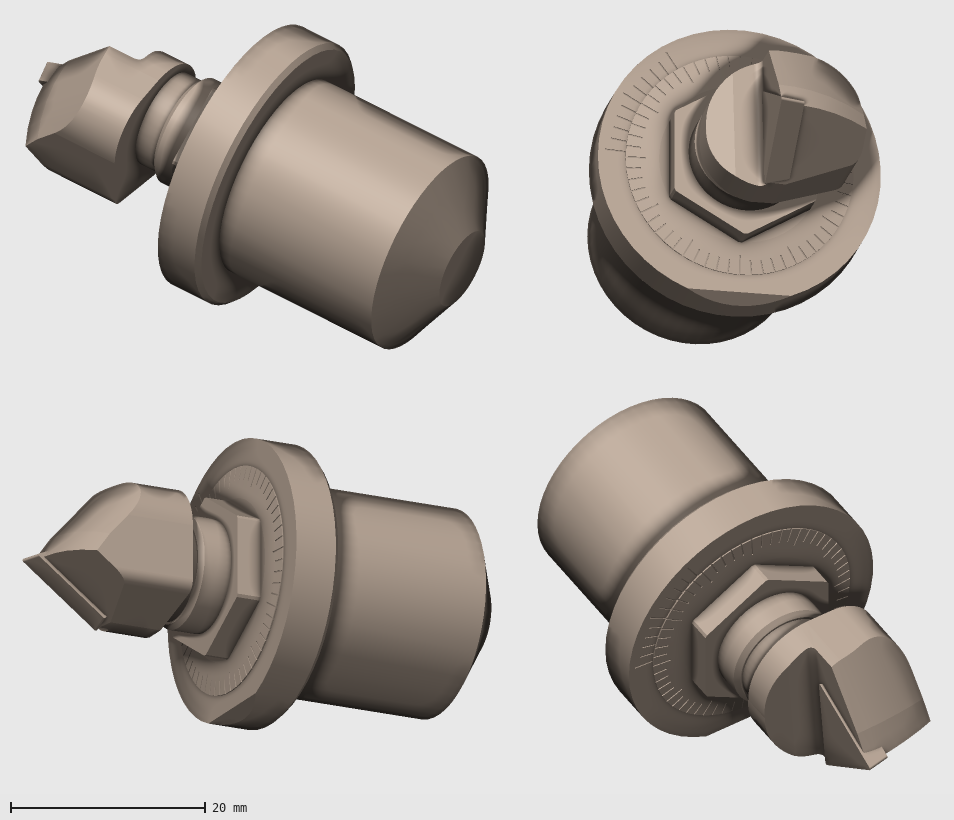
import cadquery as cq
import math


flange_diameter = 29.75
flange_thickness = 5.05
flange_chamfer = 0.5
flange_flat_height = 13.85
flange_flat_depth = 1.3
shank_diameter = 22.0
shank_end = 27.7
nose_length = 3.95
nose_end_diameter = 8.55
dial_diameter = 23.95
dial_rim_height = 0.15
dial_height = 0.45
hex_across_flats = 15.0
hex_corner_diameter = 17.1
hex_front = -3.1

mark_width = 0.15
mark_depth = 0.1
dial_mark_count = 60
dial_mark_long = 2.0
dial_mark_short = 1.5
vernier_mark_count = 11
vernier_start = 3.0
vernier_pitch = 5.4
vernier_mark_long = 2.15
vernier_mark_short = 1.7
long_mark_every = 5

thread_diameter = 12.0
thread_front = -6.65
thread_chamfer = 0.5
neck_diameter = 10.5
head_back = -9.05

head_length = 15.45
head_top = 7.05
head_bottom = -7.25
head_side = -9.15
head_back_side = 6.1
top_corner_radius = 5.15
bottom_corner_radius = 1.4
top_flat_end = -1.0
upper_arc_middle = (4.2, 4.6)
head_back_point = (head_back_side, -0.5)
lower_arc_middle = (4.35, -5.45)
bottom_flat_start = 0.75
bottom_flat_end = -1.7
bottom_slope_end = -5.0

clearance_radius = 18.55
clearance_centre_y = 0.75
clearance_x = -20.85
clearance_z = 1.4
upper_clearance_angle = 48.0
lower_clearance_angle = 54.5

rake_y = 0.25
rake_wall_x = -12.95
rake_wall_tilt = 6.8
rake_fillet = 0.75
rake_bevel_start = 3.3
rake_bevel_angle = 15.0

insert_top_y = 0.55
insert_thickness = 2.5
insert_inscribed_diameter = 6.35
insert_nose_radius = 0.2
insert_relief_angle = 7.0
insert_centre_z = -1.9
insert_tilt = 7.0
insert_tip_x = -23.8
tip_to_centre = insert_nose_radius + (
    (insert_inscribed_diameter - 2 * insert_nose_radius) * math.cos(math.radians(insert_tilt))
)
insert_centre_x = insert_tip_x + tip_to_centre
land_inset = 0.45
land_relief_angle = 5.0


def disc(diameter, start, end):
    """Cylinder on the tool axis between two X positions."""
    return cq.Workplane("YZ", origin=(start, 0, 0)).circle(diameter / 2).extrude(end - start)


def turned(points):
    """Solid of revolution about X from (x, radius) points."""
    return cq.Workplane("XY").polyline(points).close().revolve(360, (0, 0, 0), (1, 0, 0))


def half_space(point, normal, size=41.2):
    """Large block that starts at a point and fills the side the normal points to."""
    return cq.Workplane(cq.Plane(point, normal=normal)).rect(size, size).extrude(size)


def radial_mark(angle, inner_radius, outer_radius, start, end):
    """Narrow bar along a radius; the angle runs from +Y toward +Z."""
    length = outer_radius - inner_radius
    bar = cq.Workplane("XY").box(end - start, length, mark_width)
    bar = bar.translate(((start + end) / 2, (inner_radius + outer_radius) / 2, 0))
    return bar.rotate((0, 0, 0), (1, 0, 0), angle).val()


def dial_cone(offset=0.0):
    """Shallow graduated cone in front of the flange, shifted along +X by the offset."""
    return turned([
        (offset, 0),
        (offset, dial_diameter / 2),
        (offset - dial_rim_height, dial_diameter / 2),
        (offset - dial_height, hex_corner_diameter / 2),
        (offset - dial_height, 0),
    ])


def dial_marks():
    """Grooves of even depth below the conical dial face."""
    outer = dial_diameter / 2
    bars = []
    for i in range(dial_mark_count):
        length = dial_mark_short if i % long_mark_every else dial_mark_long
        angle = i * 360 / dial_mark_count
        bars.append(radial_mark(angle, outer - length, outer, -dial_height, 0))
    below_grooves = dial_cone(mark_depth)
    return cq.Workplane(cq.Compound.makeCompound(bars)).cut(below_grooves)


def vernier_marks():
    """Grooves in the flange face just outside the dial."""
    inner = dial_diameter / 2
    bars = []
    for i in range(vernier_mark_count):
        length = vernier_mark_short if i % long_mark_every else vernier_mark_long
        angle = vernier_start + i * vernier_pitch
        bars.append(radial_mark(angle, inner, inner + length, 0, mark_depth))
    return cq.Workplane(cq.Compound.makeCompound(bars))


def make_housing():
    flange_radius = flange_diameter / 2
    shank_radius = shank_diameter / 2
    body = turned([
        (0, 0),
        (0, flange_radius),
        (flange_thickness - flange_chamfer, flange_radius),
        (flange_thickness, flange_radius - flange_chamfer),
        (flange_thickness, shank_radius),
        (shank_end - nose_length, shank_radius),
        (shank_end, nose_end_diameter / 2),
        (shank_end, 0),
    ])
    flat_drop = flange_radius - flange_flat_height
    body = body.cut(half_space((0, 0, -flange_flat_height), (-flat_drop, 0, -flange_flat_depth)))
    hexagon = cq.Workplane("YZ", origin=(hex_front, 0, 0))
    hexagon = hexagon.polygon(6, hex_across_flats, circumscribed=True).extrude(-hex_front)
    hexagon = hexagon.intersect(disc(hex_corner_diameter, hex_front, 0))
    body = body.union(dial_cone()).union(hexagon)
    body = body.cut(dial_marks()).cut(vernier_marks())
    return body.cut(disc(thread_diameter, hex_front, 0))


def make_insert():
    """Triangular insert with its top face toward +Y and flanks tapering toward -Y."""
    tilt = math.radians(insert_tilt)
    top_face = cq.Plane(
        origin=(insert_centre_x, insert_top_y, insert_centre_z),
        xDir=(-math.cos(tilt), 0, math.sin(tilt)),
        normal=(0, -1, 0),
    )
    insert = cq.Workplane(top_face).polygon(3, 2 * insert_inscribed_diameter)
    insert = insert.extrude(insert_thickness, taper=insert_relief_angle)
    return insert.edges("(not <Y) and (not >Y)").fillet(insert_nose_radius)


def head_block():
    """Head cross-section extruded along X, before its faces are cut."""
    head = (
        cq.Workplane("YZ", origin=(head_back, 0, 0))
        .moveTo(head_side, bottom_slope_end)
        .lineTo(head_side, head_top)
        .lineTo(top_flat_end, head_top)
        .threePointArc(upper_arc_middle, head_back_point)
        .threePointArc(lower_arc_middle, (bottom_flat_start, head_bottom))
        .lineTo(bottom_flat_end, head_bottom)
        .close()
        .extrude(-head_length)
    )
    head = head.edges("|X and <Y").edges(">Z").fillet(top_corner_radius)
    bottom_corner = (head_back - head_length / 2, head_side, bottom_slope_end)
    return head.edges(cq.selectors.NearestToPointSelector(bottom_corner)).fillet(bottom_corner_radius)


def clearance_cylinder(angle):
    """Large cylinder whose axis rises from the crest line at the given angle to X."""
    rise = math.radians(angle)
    along = (math.cos(rise), 0, math.sin(rise))
    reach = 2 * head_length
    start = cq.Vector(
        clearance_x + clearance_radius * math.sin(rise) - reach * along[0],
        clearance_centre_y,
        clearance_z - clearance_radius * math.cos(rise) - reach * along[2],
    )
    plane = cq.Plane(origin=start.toTuple(), normal=along)
    return cq.Workplane(plane).circle(clearance_radius).extrude(2 * reach)


def rake_cutter():
    """Space in front of the rake face, closed by a tilted wall with a bevel and a fillet."""
    tilt = math.radians(rake_wall_tilt)
    plane = cq.Plane(
        origin=(rake_wall_x, rake_y, 0),
        xDir=(math.cos(tilt), 0, -math.sin(tilt)),
        normal=(math.sin(tilt), 0, math.cos(tilt)),
    )
    bevel_start = rake_bevel_start - rake_y
    bevel_run = head_back_side - rake_y
    bevel_shift = (bevel_run - bevel_start) * math.tan(math.radians(rake_bevel_angle))
    space = (
        cq.Workplane(plane)
        .moveTo(-head_length, 0)
        .lineTo(-rake_fillet, 0)
        .radiusArc((0, rake_fillet), -rake_fillet)
        .lineTo(0, bevel_start)
        .lineTo(bevel_shift, bevel_run)
        .lineTo(bevel_shift, 2 * bevel_run)
        .lineTo(-head_length, 2 * bevel_run)
        .close()
    )
    return space.extrude(head_length, both=True)


def land_cutter():
    """Space beyond the flank under the insert's long cutting edge."""
    edge_angle = math.radians(30 + insert_tilt)
    outward = (-math.sin(edge_angle), -math.cos(edge_angle))
    inset_distance = insert_inscribed_diameter / 2 - land_inset
    point = (
        insert_centre_x + inset_distance * outward[0],
        rake_y,
        insert_centre_z + inset_distance * outward[1],
    )
    lean = math.tan(math.radians(land_relief_angle))
    return half_space(point, (outward[0], -lean, outward[1]))


def make_cartridge(insert):
    head = head_block()
    head = head.intersect(clearance_cylinder(upper_clearance_angle))
    head = head.intersect(clearance_cylinder(lower_clearance_angle))
    head = head.cut(rake_cutter()).cut(land_cutter())
    neck = disc(neck_diameter, head_back, thread_front)
    thread = disc(thread_diameter, thread_front, 0).faces("<X").chamfer(thread_chamfer)
    return head.union(neck).union(thread).cut(insert)


housing = make_housing()
insert = make_insert()
cartridge = make_cartridge(insert)

result = cq.Compound.makeCompound([housing.solids().val(), cartridge.solids().val(), insert.solids().val()])